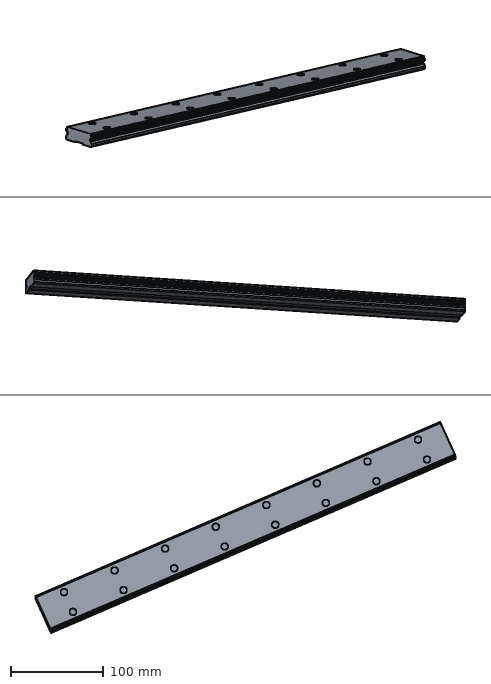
import cadquery as cq

length = 480.0
width = 42.0
height = 15.0
half_width = width / 2

base_chamfer = 1.5
base_flank_top = 4.0
waist_inset = 1.7
groove_depth = 1.0
groove_bottom = 6.0
groove_floor_bottom = 6.5
groove_floor_top = 8.0
groove_top = 9.0
waist_top = 9.5
head_flank_bottom = 10.5
head_flank_top = 12.0
shoulder_inset = 1.5
shoulder_height = 12.5
top_chamfer = 0.5

relief_width = 11.5
relief_depth = 1.2

recess_pitch = 60.0
recess_pairs = 8
row_count = 2
row_spacing = 24.0
recess_radius = 3.75
recess_depth = 0.25


def half_section():
    """Right half of the cross-section, from the centre plane out to the side."""
    shoulder_x = half_width - shoulder_inset
    waist_x = half_width - waist_inset
    groove_x = waist_x - groove_depth
    return (
        cq.Workplane("XZ")
        .moveTo(0, relief_depth)
        .lineTo(relief_width / 2, relief_depth)
        .lineTo(relief_width / 2, 0)
        .lineTo(half_width - base_chamfer, 0)
        .lineTo(half_width, base_chamfer)
        .lineTo(half_width, base_flank_top)
        .lineTo(waist_x, groove_bottom)
        .lineTo(groove_x, groove_floor_bottom)
        .lineTo(groove_x, groove_floor_top)
        .lineTo(waist_x, groove_top)
        .lineTo(waist_x, waist_top)
        .lineTo(half_width, head_flank_bottom)
        .lineTo(half_width, head_flank_top)
        .lineTo(shoulder_x, shoulder_height)
        .lineTo(shoulder_x, height - top_chamfer)
        .lineTo(shoulder_x - top_chamfer, height)
        .lineTo(0, height)
    )


def rail_body():
    """Full symmetric section, extruded along Y about the origin."""
    return half_section().mirrorY().extrude(length / 2, both=True)


def mounting_recesses():
    """Discs to be cut from the top face."""
    return (
        cq.Workplane("XY", origin=(0, 0, height))
        .rarray(row_spacing, recess_pitch, row_count, recess_pairs)
        .circle(recess_radius)
        .extrude(-recess_depth)
    )


result = rail_body().cut(mounting_recesses())